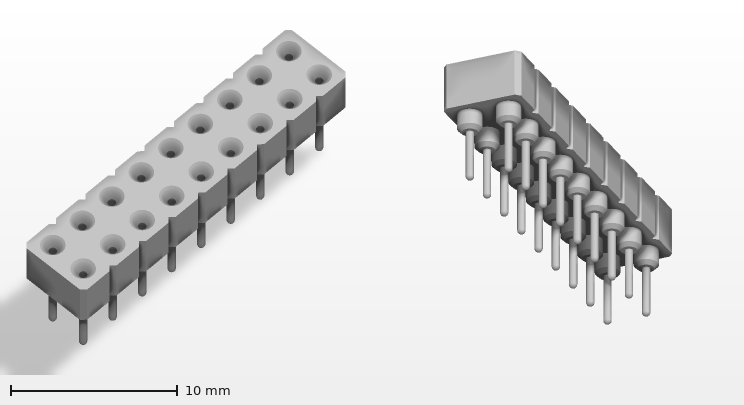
import cadquery as cq
length = 22.85
rows = 9
columns = 2
pitch = length / rows
width = columns * pitch

total_height = 7.43
body_height = 3.0
pin_length = total_height - body_height

notch_depth = 0.3

socket_radius = 1.53 / 2
socket_bore_radius = 0.5 / 2
funnel_depth = 0.6

collar_radius = socket_radius
collar_height = 1.21
collar_chamfer = 0.25
pin_radius = socket_bore_radius

pin_centers = [
    ((column - (columns - 1) / 2) * pitch, (row - (rows - 1) / 2) * pitch)
    for column in range(columns)
    for row in range(rows)
]


def make_body():
    """Block with chamfered corners and a V notch between neighbouring rows."""
    body = cq.Workplane("XY").box(width, length, body_height, centered=(True, True, False))
    body = body.edges("|Z").chamfer(notch_depth)
    for row in range(1, rows):
        y = row * pitch - length / 2
        for side in (-1, 1):
            face_x = side * width / 2
            notch = (
                cq.Workplane("XY")
                .moveTo(face_x, y - notch_depth)
                .lineTo(face_x - side * notch_depth, y)
                .lineTo(face_x, y + notch_depth)
                .close()
                .extrude(body_height)
            )
            body = body.cut(notch)
    return body


def make_pin():
    """Revolved collar and pin, with a chamfered collar and a hemispherical tip."""
    return (
        cq.Workplane("XZ")
        .lineTo(collar_radius, 0)
        .lineTo(collar_radius, collar_chamfer - collar_height)
        .lineTo(collar_radius - collar_chamfer, -collar_height)
        .lineTo(pin_radius, -collar_height)
        .lineTo(pin_radius, pin_radius - pin_length)
        .radiusArc((0, -pin_length), pin_radius)
        .close()
        .revolve(360, (0, 0, 0), (0, 1, 0))
    )


def make_socket():
    """Conical funnel at the top face leading into a blind bore."""
    return (
        cq.Workplane("XZ")
        .lineTo(socket_bore_radius, 0)
        .lineTo(socket_bore_radius, body_height - funnel_depth)
        .lineTo(socket_radius, body_height)
        .lineTo(0, body_height)
        .close()
        .revolve(360, (0, 0, 0), (0, 1, 0))
    )


pin = make_pin()
socket = make_socket()

result = make_body()
for x, y in pin_centers:
    result = result.union(pin.translate((x, y, 0)))
    result = result.cut(socket.translate((x, y, 0)))